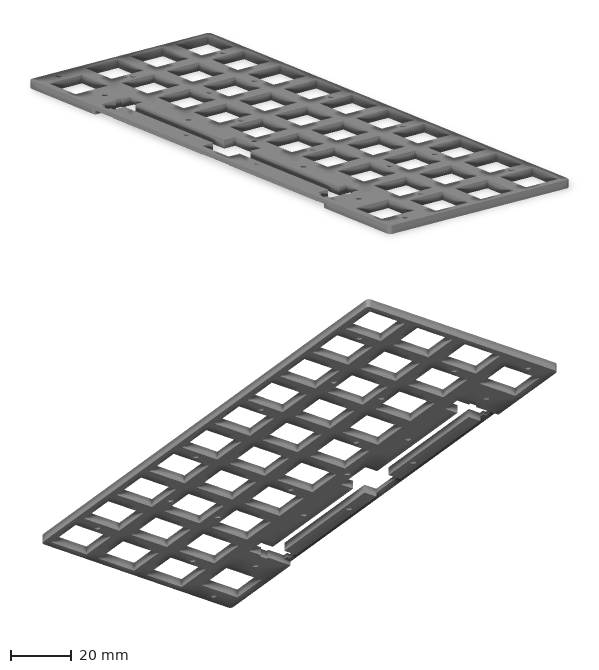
import cadquery as cq

key_pitch = 19.05
columns = 10
rows = 4
length = columns * key_pitch
width = rows * key_pitch
thickness = 3.0
corner_radius = 1.25

switch_size = 14.0
bottom_row_y = -(rows - 1) / 2 * key_pitch
end_key_units = 1.5
end_key_x = length / 2 - end_key_units / 2 * key_pitch

stabilizer_x = 3 * key_pitch
stabilizer_width = 6.75
stabilizer_top = 5.53
stabilizer_bottom = -6.77
foot_width = 3.2
foot_bottom = -7.97
ear_reach = 4.2
ear_top = 2.3
ear_bottom = -0.5
wire_slot_width = 4.6

relief_depth = 1.5
front_relief_width = (key_pitch - switch_size) / 2
stabilizer_relief_reach = 1.5

hole_diameter = 2.0
edge_hole_x = 91.6
inner_hole_x = 67.2
upper_bar_hole = (30.4, -22.6)
lower_bar_hole = (18.7, -32.7)


def block(x_min, x_max, y_min, y_max, height=thickness):
    """Box standing on the underside of the plate."""
    box = cq.Workplane("XY").box(x_max - x_min, y_max - y_min, height, centered=False)
    return box.translate((x_min, y_min, 0))


def plate_blank():
    blank = cq.Workplane("XY").box(length, width, thickness, centered=(True, True, False))
    return blank.edges("|Z").fillet(corner_radius)


def switch_openings():
    """Three full rows of openings plus three openings in the bottom row."""
    centres = [(x, bottom_row_y) for x in (-end_key_x, 0, end_key_x)]
    for row in range(1, rows):
        for column in range(columns):
            x = (column - (columns - 1) / 2) * key_pitch
            centres.append((x, bottom_row_y + row * key_pitch))
    return cq.Workplane("XY").pushPoints(centres).rect(switch_size, switch_size).extrude(thickness)


def stabilizer_opening():
    """Right-hand stabilizer opening, with its foot notch and outer ear notch."""
    half_width = stabilizer_width / 2
    half_foot = foot_width / 2
    body = block(-half_width, half_width, stabilizer_bottom, stabilizer_top)
    foot = block(-half_foot, half_foot, foot_bottom, stabilizer_bottom)
    ear = block(half_width, ear_reach, ear_bottom, ear_top)
    return body.union(foot).union(ear).translate((stabilizer_x, bottom_row_y, 0))


def space_bar_opening():
    """Stabilizer openings on both sides, joined by the wire slot."""
    right_opening = stabilizer_opening()
    half_slot = wire_slot_width / 2
    wire_slot = block(-stabilizer_x, stabilizer_x, bottom_row_y - half_slot, bottom_row_y + half_slot)
    return wire_slot.union(right_opening).union(right_opening.mirror("YZ"))


def front_relief():
    """Thins the front bar from below, from the front edge back to the space bar switch opening."""
    half_length = stabilizer_x + stabilizer_width / 2
    front_y = -width / 2
    return block(-half_length, half_length, front_y, front_y + front_relief_width, relief_depth)


def stabilizer_reliefs():
    """Thins the plate from below in front of and behind both stabilizer openings."""
    x_min = stabilizer_x - stabilizer_width / 2
    x_max = stabilizer_x + stabilizer_width / 2
    y_max = bottom_row_y + stabilizer_top + stabilizer_relief_reach
    right_relief = block(x_min, x_max, -width / 2, y_max, relief_depth)
    return right_relief.union(right_relief.mirror("YZ"))


def screw_holes():
    """Holes in mirrored pairs, plus one on the centre line."""
    right_side = [
        (4 * key_pitch, 1.5 * key_pitch),
        (key_pitch, 1.5 * key_pitch),
        (2.5 * key_pitch, key_pitch),
        (2.5 * key_pitch, 0),
        (4 * key_pitch, -0.5 * key_pitch),
        (key_pitch, -0.5 * key_pitch),
        (edge_hole_x, bottom_row_y),
        (inner_hole_x, bottom_row_y),
        upper_bar_hole,
        lower_bar_hole,
    ]
    left_side = [(-x, y) for x, y in right_side]
    centre_line = [(0, -key_pitch)]
    points = right_side + left_side + centre_line
    return cq.Workplane("XY").pushPoints(points).circle(hole_diameter / 2).extrude(thickness)


result = (
    plate_blank()
    .cut(switch_openings())
    .cut(space_bar_opening())
    .cut(front_relief())
    .cut(stabilizer_reliefs())
    .cut(screw_holes())
)